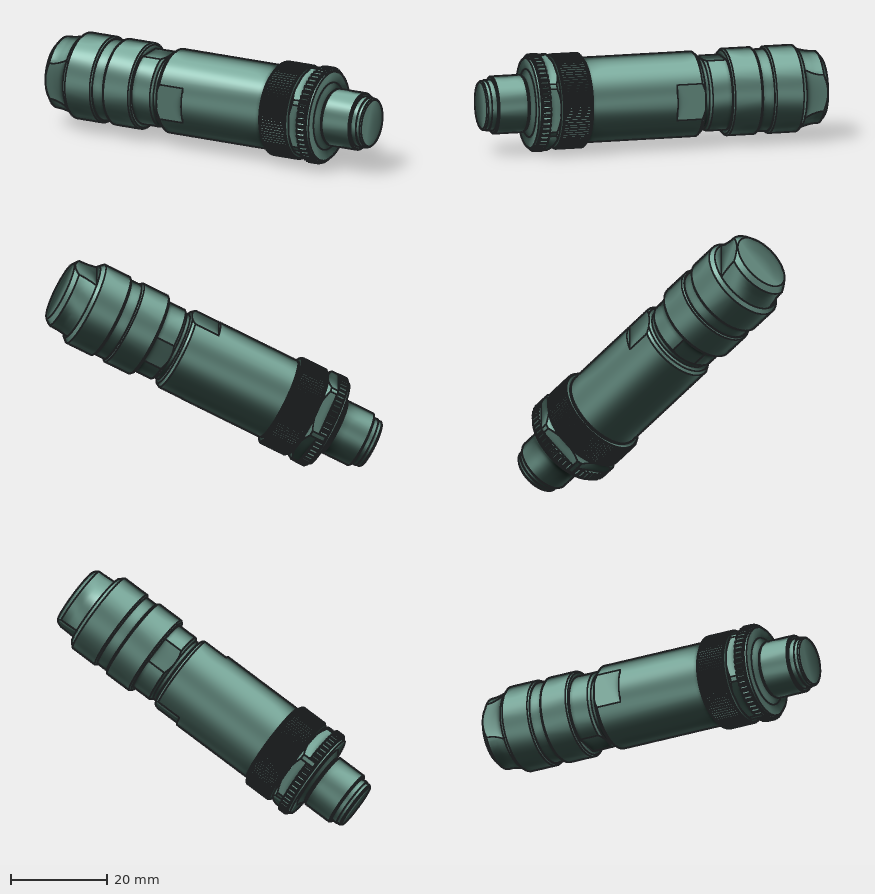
import cadquery as cq
import math

LENGTH = 73.0

nose_face_radius = 6.3
nose_rim_radius = 7.5
nose_rim_x = 1.0
nose_mid_radius = 7.75
nose_mid_x = 3.3
cap_start_radius = 8.25
nose_across_flats = 12.9

cap_start_x = 5.1
cap_bevel_length = 0.9
collar_radius = 18.1 / 2
cap_groove_radius = 17.1 / 2
cap_groove_start_x = 12.1
cap_groove_end_x = 14.6
cap_end_x = 21.0
collar_edge = 0.4

neck_radius = 7.95
neck_end_x = 25.8
neck_across_flats = 14.8
neck_groove_radius = neck_across_flats / 2
neck_groove_end_x = 26.6

sleeve_start_x = 26.9
sleeve_start_radius = 8.25
sleeve_bevel_end_x = 27.5
sleeve_radius = 17.7 / 2
sleeve_end_x = 51.3
sleeve_across_flats = 16.0
sleeve_flat_end_x = 33.0
recess_radius = 8.7

knurl_start_x = 51.7
knurl_end_x = 57.75
knurl_radius = 9.85
knurl_edge = 0.3
knurl_count = 96
knurl_depth = 0.3
knurl_neck_radius = 7.45

nut_start_x = 58.2
nut_radius = 20.2 / 2
nut_bevel_radius = 9.2
nut_bevel_length = 0.8
nut_across_flats = 18.0
rim_start_x = 60.5
rim_end_x = 62.4
rim_edge = 0.3
rim_tooth_count = 52
rim_tooth_depth = 0.45
rim_land_width = 1.1
flange_radius = 9.35
flange_end_x = 63.0
shoulder_radius = 7.1
shoulder_end_x = 63.9
shoulder_end_radius = 5.55

plug_start_x = 64.2
plug_radius = 12.0 / 2
plug_end_x = 70.75
plug_edge = 0.2
pilot_radius = 10.6 / 2
pilot_end_x = 71.9
tip_radius = 10.3 / 2
tip_edge = 0.3


def revolve_about_x(outline):
    """Spin a closed outline, drawn as X and radius, about the X axis."""
    return outline.close().revolve(360, (0, 0, 0), (1, 0, 0))


def disc(start_x, end_x, radius, start_edge=0.0, end_edge=0.0):
    """Cylinder along X with optional 45 degree edges."""
    points = [(start_x, 0), (start_x, radius - start_edge)]
    if start_edge:
        points.append((start_x + start_edge, radius))
    if end_edge:
        points.append((end_x - end_edge, radius))
    points += [(end_x, radius - end_edge), (end_x, 0)]
    return revolve_about_x(cq.Workplane("XY").polyline(points))


def slab(start_x, end_x, size_y, size_z):
    """Block centred on the X axis."""
    return cq.Workplane("XY").box(end_x - start_x, size_y, size_z).translate(((start_x + end_x) / 2, 0, 0))


def cone(start_x, end_x, start_radius, end_radius):
    """Straight taper along X."""
    points = [(start_x, 0), (start_x, start_radius), (end_x, end_radius), (end_x, 0)]
    return revolve_about_x(cq.Workplane("XY").polyline(points))


def toothed_prism(start_x, length, radius, depth, count):
    """Prism along X with V grooves about as wide as twice their depth; one groove faces +Y."""
    pitch = 2 * math.pi / count
    half_groove = depth / radius
    points = []
    for i in range(count):
        angle = i * pitch
        bottom = (angle, radius - depth)
        tooth_start = (angle + half_groove, radius)
        tooth_end = (angle + pitch - half_groove, radius)
        points += [(r * math.cos(a), r * math.sin(a)) for a, r in (bottom, tooth_start, tooth_end)]
    return cq.Workplane("YZ", origin=(start_x, 0, 0)).polyline(points).close().extrude(length)


def make_nose():
    """Flared nose, flattened on both Y sides."""
    outline = (
        cq.Workplane("XY")
        .lineTo(0, nose_face_radius)
        .lineTo(nose_rim_x, nose_rim_radius)
        .threePointArc((nose_mid_x, nose_mid_radius), (cap_start_x, cap_start_radius))
        .lineTo(cap_start_x, 0)
    )
    return revolve_about_x(outline).intersect(slab(0, cap_start_x, nose_across_flats, 2 * collar_radius))


def make_cap():
    """Two collars either side of a shallow groove."""
    bevel_end_x = cap_start_x + cap_bevel_length
    return (
        cone(cap_start_x, bevel_end_x, cap_start_radius, collar_radius)
        .union(disc(bevel_end_x, cap_groove_start_x, collar_radius, end_edge=collar_edge))
        .union(disc(cap_groove_start_x, cap_groove_end_x, cap_groove_radius))
        .union(disc(cap_groove_end_x, cap_end_x, collar_radius, collar_edge, collar_edge))
    )


def make_neck():
    """Neck flattened on top and bottom, followed by a narrow groove."""
    neck = disc(cap_end_x, neck_end_x, neck_radius, end_edge=neck_radius - neck_groove_radius)
    neck = neck.intersect(slab(cap_end_x, neck_end_x, 2 * neck_radius, neck_across_flats))
    return neck.union(disc(neck_end_x, neck_groove_end_x, neck_groove_radius))


def make_sleeve():
    """Long sleeve whose first stretch is flattened on both Y sides."""
    flatted = cone(neck_groove_end_x, sleeve_start_x, neck_groove_radius, sleeve_start_radius)
    flatted = flatted.union(cone(sleeve_start_x, sleeve_bevel_end_x, sleeve_start_radius, sleeve_radius))
    flatted = flatted.union(disc(sleeve_bevel_end_x, sleeve_flat_end_x, sleeve_radius))
    flatted = flatted.intersect(
        slab(neck_groove_end_x, sleeve_flat_end_x, sleeve_across_flats, 2 * sleeve_radius)
    )
    plain = disc(sleeve_flat_end_x, sleeve_end_x, sleeve_radius, end_edge=sleeve_radius - recess_radius)
    return flatted.union(plain).union(disc(sleeve_end_x, knurl_start_x, recess_radius))


def make_knurled_ring():
    """Finely grooved ring and the short neck behind it."""
    length = knurl_end_x - knurl_start_x
    teeth = toothed_prism(knurl_start_x, length, knurl_radius, knurl_depth, knurl_count)
    ring = disc(knurl_start_x, knurl_end_x, knurl_radius, knurl_edge, knurl_edge).intersect(teeth)
    return ring.union(disc(knurl_end_x, nut_start_x, knurl_neck_radius))


def make_coupling_nut():
    """Bevelled hexagon with corners on top and bottom, its toothed rim, flange and shoulder."""
    bevel_end_x = nut_start_x + nut_bevel_length
    hexagon = (
        cq.Workplane("YZ", origin=(nut_start_x, 0, 0))
        .polygon(6, nut_across_flats / math.cos(math.pi / 6))
        .extrude(rim_start_x - nut_start_x)
        .rotate((0, 0, 0), (1, 0, 0), 90)
    )
    blank = cone(nut_start_x, bevel_end_x, nut_bevel_radius, nut_radius)
    blank = blank.union(disc(bevel_end_x, rim_start_x, nut_radius))
    teeth = toothed_prism(
        rim_start_x, rim_end_x - rim_start_x, nut_radius, rim_tooth_depth, rim_tooth_count
    )
    smooth_lands = slab(rim_start_x, rim_end_x, rim_land_width, 2 * nut_radius)
    rim = disc(rim_start_x, rim_end_x, nut_radius, end_edge=rim_edge).intersect(teeth.union(smooth_lands))
    return (
        hexagon.intersect(blank)
        .union(rim)
        .union(disc(rim_end_x, flange_end_x, flange_radius))
        .union(cone(flange_end_x, shoulder_end_x, shoulder_radius, shoulder_end_radius))
        .union(disc(shoulder_end_x, plug_start_x, shoulder_end_radius))
    )


def make_plug():
    """Stepped plug at the mating end."""
    return (
        disc(plug_start_x, plug_end_x, plug_radius, plug_edge, plug_edge)
        .union(disc(plug_end_x, pilot_end_x, pilot_radius))
        .union(disc(pilot_end_x, LENGTH, tip_radius, end_edge=tip_edge))
    )


result = (
    make_nose()
    .union(make_cap())
    .union(make_neck())
    .union(make_sleeve())
    .union(make_knurled_ring())
    .union(make_coupling_nut())
    .union(make_plug())
)